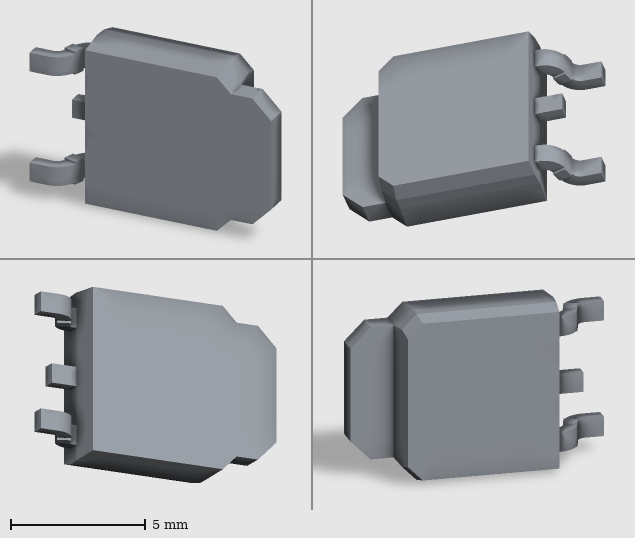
import cadquery as cq
import math


housing_height = 2.38
parting_y = 1.2
lead_thickness = 0.54
lead_top_y = parting_y + lead_thickness
lead_end_x = 2.15
lead_end_draft = 0.09
tab_end_bottom_x = 8.34
tab_end_top_x = 8.08
half_width = 3.27
bottom_half_width = 3.18
top_half_width = 3.09
corner_sum = 10.85
top_corner_sum = 10.59

tab_start_x = 4.7
tab_step_x = 8.13
tab_end_x = 9.91
tab_thickness = 0.9
tab_inner_half_width = 2.16
tab_outer_half_width = 2.61
tab_chamfer = 0.77

center_lead_start_x = 1.13
center_lead_width = 0.75
side_lead_offset = 2.28
side_lead_width = 0.77
dam_bar_width = 0.95
foot_bottom_y = -0.13
foot_length = 0.71
bend_inner_radius = 0.38
bend_angle = math.radians(72)
lead_embed_x = (lead_end_x + tab_end_bottom_x) / 2


def interpolate(start, end, fraction):
    return start + (end - start) * fraction


def housing_section(y, lead_x, half_z, diagonal_sum):
    """Six-sided cross-section wire of the housing at height y."""
    tab_x = interpolate(tab_end_bottom_x, tab_end_top_x, y / housing_height)
    half_outline = [
        (lead_x, half_z),
        (diagonal_sum - half_z, half_z),
        (tab_x, diagonal_sum - tab_x),
    ]
    outline = half_outline + [(x, -z) for x, z in reversed(half_outline)]
    return cq.Wire.makePolygon([cq.Vector(x, y, z) for x, z in outline], close=True)


def make_housing_blank():
    """Drafted housing, stacked from three flat-sided layers."""
    drafted_x = lead_end_x + lead_end_draft
    upper_fraction = lead_thickness / (housing_height - parting_y)
    lead_top_x = interpolate(lead_end_x, drafted_x, upper_fraction)
    sections = [
        housing_section(0, drafted_x, bottom_half_width, corner_sum),
        housing_section(parting_y, lead_end_x, half_width, corner_sum),
        housing_section(lead_top_y, lead_top_x, half_width, corner_sum),
        housing_section(housing_height, drafted_x, top_half_width, top_corner_sum),
    ]
    blank = cq.Workplane("XY")
    for lower, upper in zip(sections, sections[1:]):
        blank = blank.add(cq.Solid.makeLoft([lower, upper], True))
    return blank.combine()


def make_tab():
    """Flat T-shaped tab with chamfered outer corners."""
    half_outline = [
        (tab_start_x, tab_inner_half_width),
        (tab_step_x, tab_inner_half_width),
        (tab_step_x, tab_outer_half_width),
        (tab_end_x - tab_chamfer, tab_outer_half_width),
        (tab_end_x, tab_outer_half_width - tab_chamfer),
    ]
    outline = half_outline + [(x, -z) for x, z in reversed(half_outline)]
    return cq.Workplane("XZ").polyline(outline).close().extrude(-tab_thickness)


def make_center_lead(housing_blank):
    """Short straight lead trimmed to the housing end."""
    bar = cq.Workplane("XY").box(
        lead_embed_x - center_lead_start_x, lead_thickness, center_lead_width,
        centered=(False, False, True),
    )
    return bar.translate((center_lead_start_x, parting_y, 0)).cut(housing_blank)


def make_side_lead(housing_blank, z):
    """S-bent lead with a wider sloping stretch, trimmed to the housing end."""
    inner_radius = bend_inner_radius
    outer_radius = inner_radius + lead_thickness
    foot_top_y = foot_bottom_y + lead_thickness

    lower_center = (foot_length, foot_top_y + inner_radius)
    bend_reach = inner_radius + outer_radius
    rise = parting_y - foot_bottom_y
    slope_rise = rise - bend_reach * (1 - math.cos(bend_angle))
    slope_run = slope_rise / math.tan(bend_angle)
    upper_center_x = foot_length + bend_reach * math.sin(bend_angle) + slope_run
    upper_center = (upper_center_x, parting_y - inner_radius)

    def lower_point(radius, angle):
        return (
            lower_center[0] + radius * math.sin(angle),
            lower_center[1] - radius * math.cos(angle),
        )

    def upper_point(radius, angle):
        return (
            upper_center[0] - radius * math.sin(angle),
            upper_center[1] + radius * math.cos(angle),
        )

    half_bend = bend_angle / 2
    lower_outer_end = lower_point(outer_radius, bend_angle)
    lower_inner_end = lower_point(inner_radius, bend_angle)
    upper_outer_end = upper_point(outer_radius, bend_angle)
    upper_inner_end = upper_point(inner_radius, bend_angle)

    strip = (
        cq.Workplane("XY")
        .moveTo(0, foot_bottom_y)
        .lineTo(foot_length, foot_bottom_y)
        .threePointArc(lower_point(outer_radius, half_bend), lower_outer_end)
        .lineTo(*upper_inner_end)
        .threePointArc(upper_point(inner_radius, half_bend), upper_point(inner_radius, 0))
        .lineTo(lead_embed_x, parting_y)
        .lineTo(lead_embed_x, lead_top_y)
        .lineTo(upper_center_x, lead_top_y)
        .threePointArc(upper_point(outer_radius, half_bend), upper_outer_end)
        .lineTo(*lower_inner_end)
        .threePointArc(lower_point(inner_radius, half_bend), lower_point(inner_radius, 0))
        .lineTo(0, foot_top_y)
        .close()
        .extrude(side_lead_width / 2, both=True)
    )
    dam_bar = (
        cq.Workplane("XY")
        .polyline([lower_outer_end, upper_inner_end, upper_outer_end, lower_inner_end])
        .close()
        .extrude(dam_bar_width / 2, both=True)
    )
    return strip.union(dam_bar).translate((0, 0, z)).cut(housing_blank)


housing_blank = make_housing_blank()
tab = make_tab()
housing = housing_blank.cut(tab)
center_lead = make_center_lead(housing_blank)
side_leads = [make_side_lead(housing_blank, z) for z in (-side_lead_offset, side_lead_offset)]

bodies = [housing, tab, center_lead, *side_leads]
result = cq.Compound.makeCompound([body.solids().val() for body in bodies])